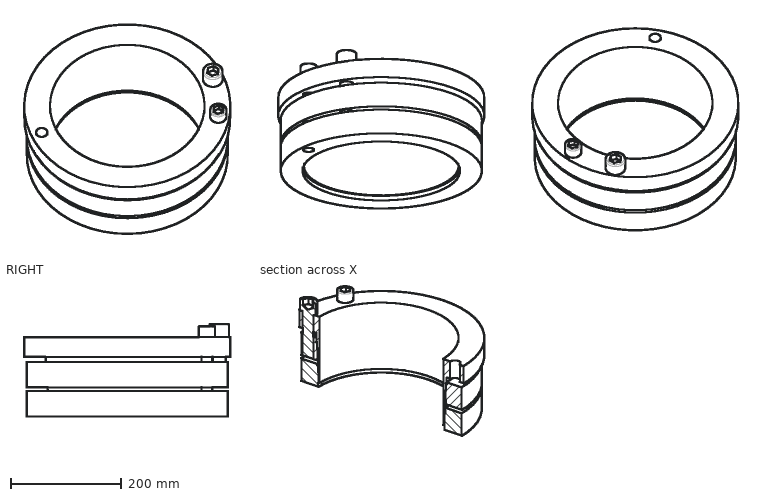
import cadquery as cq
import math

FLANGE_DIAMETER = 374.0
RING_DIAMETER = 365.0
BORE_DIAMETER = 280.0
RING_HEIGHT = 46.5
LOWER_GAP = 6.5
UPPER_GAP = 9.0
FLANGE_THICKNESS = 36.0

MIDDLE_RING_BOTTOM = RING_HEIGHT + LOWER_GAP
MIDDLE_RING_TOP = MIDDLE_RING_BOTTOM + RING_HEIGHT
FLANGE_BOTTOM = MIDDLE_RING_TOP + UPPER_GAP
FLANGE_TOP = FLANGE_BOTTOM + FLANGE_THICKNESS

SLEEVE_END = 9.0
CONE_TOP_RADIUS = 148.5
CONE_HALF_ANGLE = 3.0

BOLT_CIRCLE_RADIUS = 166.8
LARGE_SCREW_ANGLE = 90.0
SMALL_SCREW_ANGLE = 60.0
JACKING_HOLE_ANGLE = 270.0
JACKING_HOLE_DIAMETER = 20.5

LARGE_SHANK_DIAMETER = 24.0
SMALL_SHANK_DIAMETER = 20.0
HEAD_TO_SHANK = 1.5
HEAD_ROUND_TO_SHANK = 0.1
SOCKET_DEPTH_TO_SHANK = 0.5
LARGE_HEX_FLATS = 19.0
SMALL_HEX_FLATS = 17.0
SOCKET_CONE_HALF_ANGLE = 60.0


def cone_radius(z):
    """Radius of the tapered joint surface at height z."""
    return CONE_TOP_RADIUS - (FLANGE_BOTTOM - z) * math.tan(math.radians(CONE_HALF_ANGLE))


def revolve_profile(points):
    """Solid of revolution about Z from (radius, z) points."""
    return cq.Workplane("XZ").polyline(points).close().revolve(360, (0, 0, 0), (0, 1, 0))


def on_bolt_circle(angle, z):
    """Point on the bolt circle at the given angle and height."""
    turn = math.radians(angle)
    return (BOLT_CIRCLE_RADIUS * math.cos(turn), BOLT_CIRCLE_RADIUS * math.sin(turn), z)


def bolt_cylinder(diameter, angle, bottom, top):
    """Vertical cylinder on the bolt circle, used to cut a hole."""
    cylinder = cq.Workplane("XY").circle(diameter / 2).extrude(top - bottom)
    return cylinder.translate(on_bolt_circle(angle, bottom))


def large_screw_hole():
    """Hole filled by the large screw, through the flange and middle ring."""
    return bolt_cylinder(LARGE_SHANK_DIAMETER, LARGE_SCREW_ANGLE, MIDDLE_RING_BOTTOM, FLANGE_TOP)


def small_screw_hole():
    """Hole filled by the small screw, through the flange and both rings."""
    return bolt_cylinder(SMALL_SHANK_DIAMETER, SMALL_SCREW_ANGLE, 0, FLANGE_TOP)


def make_flanged_sleeve():
    """Flange with a tapered sleeve reaching down through both rings."""
    bore_radius = BORE_DIAMETER / 2
    flange_radius = FLANGE_DIAMETER / 2
    sleeve = revolve_profile([
        (bore_radius, SLEEVE_END),
        (cone_radius(SLEEVE_END), SLEEVE_END),
        (CONE_TOP_RADIUS, FLANGE_BOTTOM),
        (flange_radius, FLANGE_BOTTOM),
        (flange_radius, FLANGE_TOP),
        (bore_radius, FLANGE_TOP),
    ])
    jacking_hole = bolt_cylinder(
        JACKING_HOLE_DIAMETER, JACKING_HOLE_ANGLE, FLANGE_BOTTOM, FLANGE_TOP
    )
    return sleeve.cut(jacking_hole).cut(large_screw_hole()).cut(small_screw_hole())


def make_clamping_ring(bottom):
    """Plain ring whose tapered bore fits the sleeve."""
    top = bottom + RING_HEIGHT
    outer_radius = RING_DIAMETER / 2
    return revolve_profile([
        (cone_radius(bottom), bottom),
        (outer_radius, bottom),
        (outer_radius, top),
        (cone_radius(top), top),
    ])


def make_socket_screw(shank_diameter, hex_flats, angle, tip):
    """Socket head screw seated on the flange, with its shank ending at height tip."""
    head_height = shank_diameter
    shank_length = FLANGE_TOP - tip
    head = cq.Workplane("XY").circle(HEAD_TO_SHANK * shank_diameter / 2).extrude(head_height)
    head = head.faces(">Z").edges().fillet(HEAD_ROUND_TO_SHANK * shank_diameter)
    shank = cq.Workplane("XY").circle(shank_diameter / 2).extrude(-shank_length)

    socket_floor = head_height * (1 - SOCKET_DEPTH_TO_SHANK)
    hex_corners = hex_flats / math.cos(math.radians(30))
    socket = (
        cq.Workplane("XY").transformed(rotate=(0, 0, 90), offset=(0, 0, socket_floor))
        .polygon(6, hex_corners).extrude(head_height - socket_floor)
    )
    cone_base_radius = hex_flats / 2
    cone_depth = cone_base_radius / math.tan(math.radians(SOCKET_CONE_HALF_ANGLE))
    socket_cone = revolve_profile([
        (0, socket_floor - cone_depth),
        (cone_base_radius, socket_floor),
        (0, socket_floor),
    ])
    screw = head.union(shank).cut(socket).cut(socket_cone)
    return screw.translate(on_bolt_circle(angle, FLANGE_TOP))


flanged_sleeve = make_flanged_sleeve()

screw_holes = large_screw_hole().union(small_screw_hole())
clamping_rings = [
    make_clamping_ring(bottom).cut(screw_holes).solids().val() for bottom in (0, MIDDLE_RING_BOTTOM)
]

screw_sizes = [
    (LARGE_SHANK_DIAMETER, LARGE_HEX_FLATS, LARGE_SCREW_ANGLE, MIDDLE_RING_BOTTOM),
    (SMALL_SHANK_DIAMETER, SMALL_HEX_FLATS, SMALL_SCREW_ANGLE, 0),
]
screws = [make_socket_screw(*size).solids().val() for size in screw_sizes]

result = cq.Compound.makeCompound([flanged_sleeve.solids().val(), *clamping_rings, *screws])